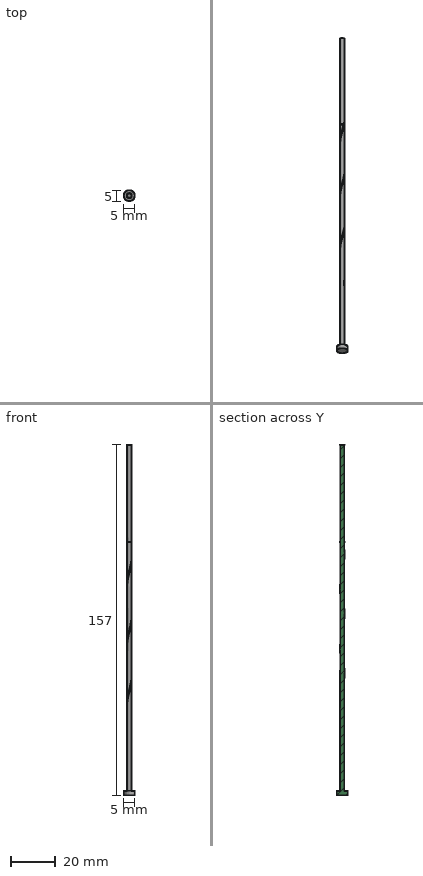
import cadquery as cq
import math


total_length = 157.0
head_diameter = 5.0
head_height = 2.0
rod_diameter = 2.2
rod_radius = rod_diameter / 2

groove_depth = 0.1
groove_width = 0.4
ring_height = 113.5

helix_length = 80.0
helix_turns = 3
helix_start_angle = 90.0
helix_pitch = helix_length / helix_turns
helix_start = ring_height - helix_length


def make_body():
    head = cq.Workplane("XY").circle(head_diameter / 2).extrude(head_height)
    rod = cq.Workplane("XY").circle(rod_radius).extrude(total_length)
    return head.union(rod)


def make_ring_cutter():
    return (
        cq.Workplane("XY", origin=(0, 0, ring_height - groove_width / 2))
        .circle(rod_radius + groove_depth)
        .circle(rod_radius - groove_depth)
        .extrude(groove_width)
    )


def make_helix_cutter():
    turn_around = math.pi * rod_diameter
    axial_width = groove_width * math.hypot(turn_around, helix_pitch) / turn_around
    path = cq.Wire.makeHelix(helix_pitch, helix_length, rod_radius)
    cutter = (
        cq.Workplane("XZ", origin=(rod_radius, 0, 0))
        .rect(2 * groove_depth, axial_width)
        .sweep(cq.Workplane(path), isFrenet=True)
    )
    return cutter.rotate((0, 0, 0), (0, 0, 1), helix_start_angle).translate((0, 0, helix_start))


result = make_body().cut(make_ring_cutter()).cut(make_helix_cutter())